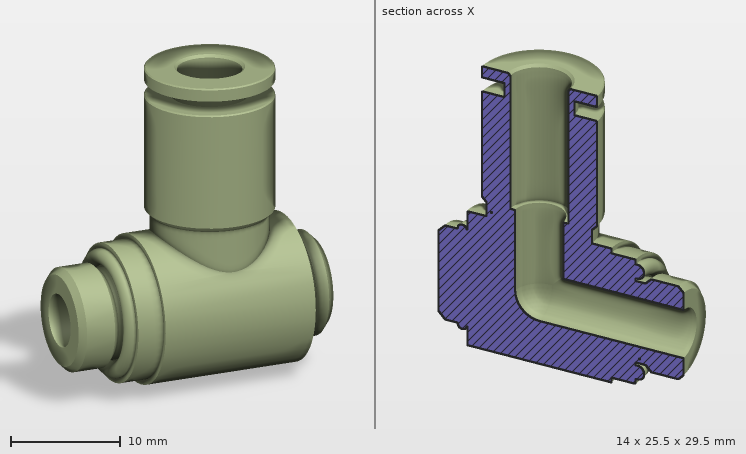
import cadquery as cq


body_dia = 14.0
body_half_length = 7.5
shoulder_dia = 13.0
shoulder_length = 2.5
thread_dia = 9.74
thread_tip_dia = 8.55
thread_neck_dia = thread_tip_dia
thread_length = 3.98
thread_chamfer = (thread_dia - thread_tip_dia) / 2
front_end = -15.0
head_dia = 9.85
head_end = 10.5
head_chamfer = 0.75

front_ring_dia = 12.0
front_ring_section = 1.5
front_ring_projection = 0.88
rear_ring_dia = 10.92
rear_ring_section = 1.0

overall_height = 29.5
port_top = overall_height - body_dia / 2
neck_dia = 11.0
sleeve_dia = 12.0
sleeve_bottom = 8.4
sleeve_top = 19.88
sleeve_chamfer = (sleeve_dia - neck_dia) / 2
stem_dia = 7.3
flange_thickness = 1.2
edge_break = 0.12

bore_dia = 5.0
tube_bore_dia = 6.0
tube_bore_mouth_dia = 6.5
tube_bore_bottom = sleeve_bottom


def cylinder_y(diameter, y_start, y_end):
    """Cylinder on the Y axis between two Y positions."""
    return (
        cq.Workplane("XZ", origin=(0, y_end, 0))
        .circle(diameter / 2)
        .extrude(y_end - y_start)
    )


def cylinder_z(diameter, z_start, z_end):
    """Cylinder on the Z axis between two Z positions."""
    return (
        cq.Workplane("XY", origin=(0, 0, z_start))
        .circle(diameter / 2)
        .extrude(z_end - z_start)
    )


def sealing_ring(outer_dia, section_dia, y_center):
    """Round-section ring around the Y axis."""
    ring_radius = (outer_dia - section_dia) / 2
    return cq.Workplane(
        cq.Solid.makeTorus(
            ring_radius, section_dia / 2, cq.Vector(0, y_center, 0), cq.Vector(0, 1, 0)
        )
    )


def make_swivel():
    """Body, shoulder, threaded end, head and sealing rings."""
    shoulder_end = -body_half_length - shoulder_length
    front_ring_y = shoulder_end - front_ring_projection + front_ring_section / 2
    rear_ring_y = body_half_length + rear_ring_section / 2
    thread = cylinder_y(thread_dia, front_end, front_end + thread_length)
    thread = thread.edges().chamfer(thread_chamfer)
    head = cylinder_y(head_dia, 0, head_end).faces(">Y").chamfer(head_chamfer)
    return (
        cylinder_y(body_dia, -body_half_length, body_half_length)
        .union(cylinder_y(shoulder_dia, shoulder_end, 0))
        .union(cylinder_y(thread_neck_dia, front_end + thread_chamfer, 0))
        .union(thread)
        .union(head)
        .union(sealing_ring(front_ring_dia, front_ring_section, front_ring_y))
        .union(sealing_ring(rear_ring_dia, rear_ring_section, rear_ring_y))
    )


def make_port():
    """Neck, sleeve, stem and release flange."""
    sleeve = cylinder_z(sleeve_dia, sleeve_bottom, sleeve_top)
    sleeve = sleeve.faces("<Z").chamfer(sleeve_chamfer).faces(">Z").chamfer(edge_break)
    flange = cylinder_z(sleeve_dia, port_top - flange_thickness, port_top)
    flange = flange.faces(">Z").chamfer(edge_break)
    return (
        cylinder_z(neck_dia, 0, sleeve_bottom + sleeve_chamfer)
        .union(sleeve)
        .union(cylinder_z(stem_dia, sleeve_top, port_top))
        .union(flange)
    )


def make_passages():
    """Elbow passage with a spherical corner, and the wider tube bore."""
    mouth_chamfer = (tube_bore_mouth_dia - tube_bore_dia) / 2
    mouth = cq.Workplane(
        cq.Solid.makeCone(
            tube_bore_dia / 2,
            tube_bore_mouth_dia / 2,
            mouth_chamfer,
            cq.Vector(0, 0, port_top - mouth_chamfer),
        )
    )
    return (
        cq.Workplane("XY")
        .sphere(bore_dia / 2)
        .union(cylinder_y(bore_dia, front_end, 0))
        .union(cylinder_z(bore_dia, 0, port_top))
        .union(cylinder_z(tube_bore_dia, tube_bore_bottom, port_top))
        .union(mouth)
    )


result = make_swivel().union(make_port()).cut(make_passages())